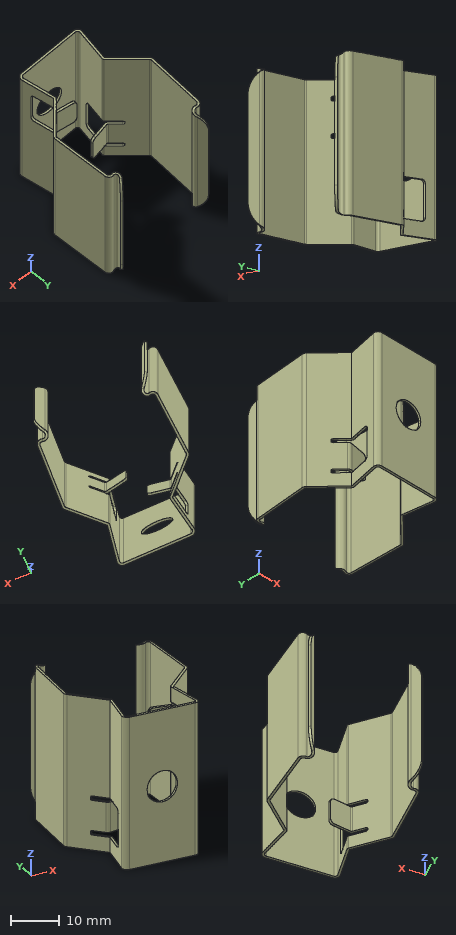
import cadquery as cq
import math


height = 35.0
overall_depth = 35.02
sheet = 0.6
inner_radius = 0.6

base_heading = 0
neck_heading = 100
flare_heading = 45
side_heading = 93
hook_heading = 201
lip_heading = 50
tongue_heading = 170

base_half_length = 7.67
neck_length = 8.02
flare_length = 9.42
side_length = 13.97

lip_corner_radius = 6.0
hole_diameter = 7.1
window_height = 8.93
window_center_z = 9.53
window_drop = 5.7
window_corner_radius = 0.88
slot_width = 0.98
slot_reach = 4.3
tongue_start = 0.88
tongue_length = 4.95
tongue_height = window_height - 2 * slot_width
tongue_corner_radius = 1.0
tongue_inner_radius = 0.5

cut_margin = 0.18
same_point = 3.5e-07
lip_corner_sections = 7


def shift(point, heading, distance):
    """Point moved by a distance along a heading."""
    angle = math.radians(heading)
    return (point[0] + distance * math.cos(angle), point[1] + distance * math.sin(angle))


class Flat:
    """Straight stretch of the strip, followed along the middle of the sheet."""

    def __init__(self, start, heading, length):
        self.start = start
        self.heading = heading
        self.length = length
        self.end_heading = heading

    def at(self, fraction, offset=0.0):
        """Point at a fraction of the stretch, set off to the left of the middle line."""
        middle = shift(self.start, self.heading, fraction * self.length)
        return shift(middle, self.heading + 90, offset)


class Bend:
    """Round stretch of the strip; a positive turn bends to the left."""

    def __init__(self, start, heading, turn, radius):
        self.heading = heading
        self.turn = turn
        self.side = math.copysign(1, turn)
        self.middle_radius = radius + sheet / 2
        self.center = shift(start, heading + 90, self.side * self.middle_radius)
        self.length = self.middle_radius * math.radians(abs(turn))
        self.end_heading = heading + turn

    def at(self, fraction, offset=0.0):
        """Point at a fraction of the bend, set off to the left of the middle line."""
        heading = self.heading + fraction * self.turn
        return shift(self.center, heading + 90, offset - self.side * self.middle_radius)


def follow(start, heading, steps):
    """Chain of stretches; a step is ("flat", length) or ("bend", new heading, inner radius)."""
    stretches = []
    for kind, *values in steps:
        if kind == "flat":
            stretch = Flat(start, heading, values[0])
        else:
            stretch = Bend(start, heading, values[0] - heading, values[1])
        stretches.append(stretch)
        start = stretch.at(1)
        heading = stretch.end_heading
    return stretches


def trace_side(outline, stretches, offset, first, last):
    """Continue the outline along one face of the strip, between two stretch fractions."""
    for stretch in stretches:
        end = stretch.at(last, offset)
        if isinstance(stretch, Flat):
            outline = outline.lineTo(*end)
        elif math.dist(stretch.at(first, offset), end) > same_point:
            outline = outline.threePointArc(stretch.at(0.5, offset), end)
    return outline


def strip(stretches, strip_height, center_z):
    """Solid strip that follows a chain of stretches."""
    half = sheet / 2
    outline = cq.Workplane("XY", origin=(0, 0, center_z - strip_height / 2))
    outline = outline.moveTo(*stretches[0].at(0, half))
    outline = trace_side(outline, stretches, half, 0, 1)
    outline = outline.lineTo(*stretches[-1].at(1, -half))
    outline = trace_side(outline, stretches[::-1], -half, 1, 0)
    return outline.close().extrude(strip_height)


def lip_corner_cutter(stretch, tip_distance, end_distance):
    """Part of the rounded lip corner that lies on one stretch.

    The corner is a quarter circle on the unfolded sheet, so its depth below the top edge
    follows from the distance to the lip's tip, measured along the middle of the sheet.
    """
    start_angle = math.acos(1 - tip_distance / lip_corner_radius)
    end_angle = math.acos(1 - end_distance / lip_corner_radius)
    reach = sheet / 2 + cut_margin
    wires = []
    for index in range(lip_corner_sections):
        angle = start_angle + (end_angle - start_angle) * index / (lip_corner_sections - 1)
        distance = lip_corner_radius * (1 - math.cos(angle))
        depth = lip_corner_radius * (1 - math.sin(angle))
        fraction = 1 - (distance - tip_distance) / stretch.length
        low = height / 2 - depth
        high = height / 2 + cut_margin
        left = stretch.at(fraction, reach)
        right = stretch.at(fraction, -reach)
        corners = [(*left, low), (*right, low), (*right, high), (*left, high)]
        wires.append(cq.Wire.makePolygon([cq.Vector(*corner) for corner in corners], close=True))
    return cq.Workplane(cq.Solid.makeLoft(wires))


def round_lip_corners(body, stretches):
    """Round the top and bottom corners of the lip, on through the bends behind it."""
    tip_distance = 0
    for stretch in reversed(stretches):
        end_distance = min(tip_distance + stretch.length, lip_corner_radius)
        cutter = lip_corner_cutter(stretch, tip_distance, end_distance)
        body = body.cut(cutter).cut(cutter.mirror("XY"))
        tip_distance = end_distance
        if tip_distance >= lip_corner_radius:
            break
    return body


def direction(heading):
    """Unit vector along a heading."""
    return cq.Vector(*shift((0, 0), heading, 1), 0)


def wall_plane(corner, heading):
    """Plane of a wall's outer face at the window's middle, with local X along the heading."""
    return cq.Workplane(cq.Plane((*corner, window_center_z), direction(heading), direction(heading + 90)))


def cut_window(body, corner):
    """Cut the window below the neck corner and the two slots that run up the flare."""
    depth = 2 * sheet
    toward_base = neck_heading + 180
    neck_window = (
        wall_plane(corner, toward_base)
        .center(window_drop / 2, 0)
        .rect(window_drop, window_height)
        .extrude(depth, both=True)
        .faces(cq.selectors.DirectionMinMaxSelector(direction(toward_base)))
        .edges(cq.selectors.ParallelDirSelector(direction(toward_base + 90)))
        .fillet(window_corner_radius)
    )
    neck_bend = cq.Workplane("XY", origin=(*corner, window_center_z)).cylinder(window_height, tongue_start)
    fold_gap = (
        wall_plane(corner, flare_heading)
        .center(tongue_start / 2, 0)
        .rect(tongue_start, window_height)
        .extrude(depth, both=True)
    )
    slot_offset = (window_height - slot_width) / 2
    slots = (
        wall_plane(corner, flare_heading)
        .pushPoints([(slot_reach / 2, -slot_offset), (slot_reach / 2, slot_offset)])
        .slot2D(slot_reach, slot_width)
        .extrude(depth, both=True)
    )
    return body.cut(neck_window).cut(neck_bend).cut(fold_gap).cut(slots)


def make_tongue(flare):
    """Tongue between the slots, folded inward from the flare."""
    steps = [
        ("bend", tongue_heading, tongue_inner_radius),
        ("flat", tongue_length),
    ]
    stretches = follow(flare.at(tongue_start / flare.length), flare_heading + 180, steps)
    tip_edges = cq.selectors.ParallelDirSelector(direction(tongue_heading + 90))
    return strip(stretches, tongue_height, window_center_z).edges(tip_edges).fillet(tongue_corner_radius)


def make_half():
    """The +X half of the clip, from the middle of the base to the lip."""
    steps = [
        ("flat", base_half_length),
        ("bend", neck_heading, inner_radius),
        ("flat", neck_length),
        ("bend", flare_heading, 0),
        ("flat", flare_length),
        ("bend", side_heading, inner_radius),
        ("flat", side_length),
        ("bend", hook_heading, inner_radius),
        ("bend", lip_heading, inner_radius),
    ]
    stretches = follow((0, sheet / 2), base_heading, steps)

    lip_bend = stretches[-1]
    lip_rise = overall_depth - lip_bend.at(1, sheet / 2)[1]
    lip_length = lip_rise / math.sin(math.radians(lip_heading))
    stretches.append(Flat(lip_bend.at(1), lip_heading, lip_length))

    neck_bend = stretches[3]
    flare = stretches[4]
    half = strip(stretches, height, 0)
    half = round_lip_corners(half, stretches)
    half = cut_window(half, neck_bend.center)
    return half.union(make_tongue(flare))


right_half = make_half()
left_half = right_half.rotate((0, 0, 0), (0, 1, 0), 180)
base_hole = cq.Workplane("XZ").circle(hole_diameter / 2).extrude(-2 * sheet)
result = right_half.union(left_half).cut(base_hole).clean()